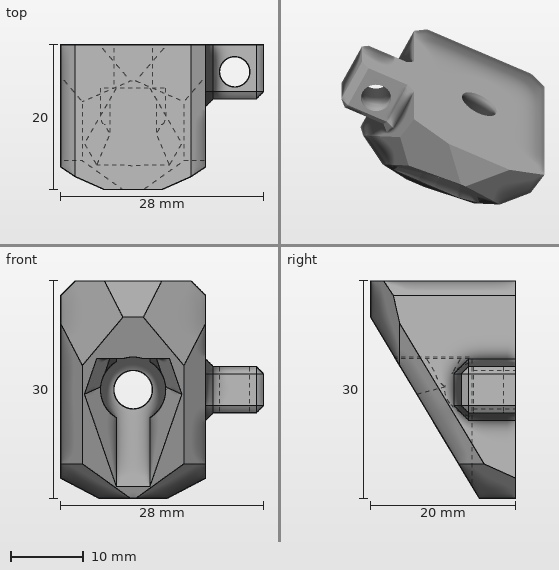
import cadquery as cq
import math

BODY_HEIGHT = 30.0
BODY_WIDTH = 20.0
TOP_DEPTH = 20.0
BASE_DEPTH = 5.0
BROW_Z = 25.0
TOP_CHAMFER = 2.0
HALF_WIDTH = BODY_WIDTH / 2
SLOPE = (TOP_DEPTH - BASE_DEPTH) / BROW_Z

BAND_WIDTH = 3.0
BAND_SIDE_DROP = 3.5
BOTTOM_SIDE_Z = 2.8
BOTTOM_HALF_WIDTH = 4.68
BOTTOM_FRONT_X = 0.35
SHOULDER_SIDE_Z = 24.12
SHOULDER_SIDE_DEPTH = 16.0
SHOULDER_TOP_X = 3.95
SHOULDER_BROW_X = 1.4

FLOOR_DEPTH = 6.0
FLOOR_HALF_WIDTH = 2.3
WALL_ANGLE = 30.0
RECESS_TOP_Z = 19.32
HOOD_LOW_Z = 14.37
HOOD_TOP_X = 5.0
HOOD_INNER_LOW_X = 4.53
HOOD_INNER_LOW_Z = 15.35
HOOD_INNER_TOP_X = 3.2
HOLE_Z = 15.0
COUNTERBORE_RADIUS = 4.5
BORE_RADIUS = 2.65

LUG_END_X = 18.0
LUG_DEPTH = 7.5
LUG_HEIGHT = 6.42
LUG_CHAMFER = 1.02
LUG_HOLE_X = 14.0
LUG_HOLE_DEPTH = LUG_DEPTH / 2
LUG_HOLE_RADIUS = 2.07

FAR = 90.0


def front_depth(z):
    """Depth of the sloped front at height z."""
    return BASE_DEPTH + SLOPE * z


def trim(solid, points, inside):
    """Cut along the plane through three points, keeping the side of inside."""
    a, b, c = [cq.Vector(*p) for p in points]
    normal = (b - a).cross(c - a)
    if normal.dot(cq.Vector(*inside) - a) > 0:
        normal = normal * -1
    plane = cq.Plane(origin=a, normal=normal)
    return solid.cut(cq.Workplane(plane).rect(FAR, FAR).extrude(FAR))


def make_body():
    profile = [
        (0, 0),
        (-BASE_DEPTH, 0),
        (-TOP_DEPTH, BROW_Z),
        (-TOP_DEPTH, BODY_HEIGHT),
        (0, BODY_HEIGHT),
    ]
    body = cq.Workplane("YZ").polyline(profile).close().extrude(HALF_WIDTH, both=True)
    body = body.edges("|Y and >Z").chamfer(TOP_CHAMFER)
    inside = (0, -BASE_DEPTH / 2, BODY_HEIGHT / 2)
    for side in (-1, 1):
        wall_x = side * HALF_WIDTH
        band_x = side * (HALF_WIDTH - BAND_WIDTH)
        band = [
            (wall_x, BAND_SIDE_DROP - front_depth(0), 0),
            (wall_x, BAND_SIDE_DROP - front_depth(BROW_Z), BROW_Z),
            (band_x, -front_depth(0), 0),
        ]
        bottom = [
            (wall_x, 0, BOTTOM_SIDE_Z),
            (side * BOTTOM_HALF_WIDTH, 0, 0),
            (side * BOTTOM_FRONT_X, -BASE_DEPTH, 0),
        ]
        shoulder = [
            (wall_x, -SHOULDER_SIDE_DEPTH, SHOULDER_SIDE_Z),
            (side * SHOULDER_TOP_X, -TOP_DEPTH, BODY_HEIGHT),
            (side * SHOULDER_BROW_X, -TOP_DEPTH, BROW_Z),
        ]
        for facet in (band, bottom, shoulder):
            body = trim(body, facet, inside)
    return body


def make_hood(side):
    """Overhanging wedge left in an upper corner of the recess."""
    lean = math.tan(math.radians(WALL_ANGLE))
    low_depth = front_depth(HOOD_LOW_Z)
    low_x = FLOOR_HALF_WIDTH + (low_depth - FLOOR_DEPTH) * lean
    inner_depth = FLOOR_DEPTH + (HOOD_INNER_LOW_X - FLOOR_HALF_WIDTH) / lean
    outline = [
        (side * low_x, HOOD_LOW_Z),
        (side * HOOD_INNER_LOW_X, HOOD_INNER_LOW_Z),
        (side * HOOD_INNER_TOP_X, RECESS_TOP_Z),
        (side * FAR, RECESS_TOP_Z),
        (side * FAR, HOOD_LOW_Z),
    ]
    face = [
        (side * low_x, -low_depth, HOOD_LOW_Z),
        (side * HOOD_TOP_X, -front_depth(RECESS_TOP_Z), RECESS_TOP_Z),
        (side * HOOD_INNER_LOW_X, -inner_depth, HOOD_INNER_LOW_Z),
    ]
    hood = cq.Workplane("XZ").polyline(outline).close().extrude(TOP_DEPTH)
    return trim(hood, face, (side * HALF_WIDTH, 0, RECESS_TOP_Z))


def make_recess():
    mouth_half_width = FLOOR_HALF_WIDTH + (TOP_DEPTH - FLOOR_DEPTH) * math.tan(math.radians(WALL_ANGLE))
    section = [
        (-FLOOR_HALF_WIDTH, -FLOOR_DEPTH),
        (FLOOR_HALF_WIDTH, -FLOOR_DEPTH),
        (mouth_half_width, -TOP_DEPTH),
        (-mouth_half_width, -TOP_DEPTH),
    ]
    recess = cq.Workplane("XY").polyline(section).close().extrude(RECESS_TOP_Z)
    for side in (-1, 1):
        recess = recess.cut(make_hood(side))
    return recess


def make_hole(radius, start_depth):
    hole = cq.Workplane("XZ", origin=(0, -start_depth, HOLE_Z)).circle(radius)
    return hole.extrude(TOP_DEPTH)


def lug_section(growth):
    """Lug outline in (Y, Z) about its mid height, grown outward at the root."""
    flat_depth = LUG_DEPTH - LUG_CHAMFER
    flat_z = LUG_HEIGHT / 2 - LUG_CHAMFER
    depth = LUG_DEPTH + growth
    top = LUG_HEIGHT / 2 + growth
    return [
        (0, -top),
        (-flat_depth, -top),
        (-depth, -flat_z),
        (-depth, flat_z),
        (-flat_depth, top),
        (0, top),
    ]


def make_lug():
    root = cq.Workplane("YZ", origin=(HALF_WIDTH, 0, HOLE_Z))
    lug = root.polyline(lug_section(0)).close().extrude(LUG_END_X - HALF_WIDTH)
    shoulder_x = LUG_END_X - LUG_CHAMFER
    flat_depth = LUG_DEPTH - LUG_CHAMFER
    inside = (LUG_HOLE_X, -LUG_HOLE_DEPTH, HOLE_Z)
    front = [
        (shoulder_x, -LUG_DEPTH, 0),
        (shoulder_x, -LUG_DEPTH, BODY_HEIGHT),
        (LUG_END_X, -flat_depth, 0),
    ]
    lug = trim(lug, front, inside)
    for side in (-1, 1):
        outer_z = HOLE_Z + side * LUG_HEIGHT / 2
        flat_z = outer_z - side * LUG_CHAMFER
        edge = [
            (shoulder_x, 0, outer_z),
            (shoulder_x, -flat_depth, outer_z),
            (LUG_END_X, -flat_depth, flat_z),
        ]
        corner = [
            (shoulder_x, -flat_depth, outer_z),
            (shoulder_x, -LUG_DEPTH, flat_z),
            (LUG_END_X, -flat_depth, flat_z),
        ]
        for facet in (edge, corner):
            lug = trim(lug, facet, inside)
    flare = (
        root.polyline(lug_section(LUG_CHAMFER)).close()
        .workplane(offset=LUG_CHAMFER)
        .polyline(lug_section(0)).close()
        .loft(ruled=True)
    )
    hole = cq.Workplane("XY").center(LUG_HOLE_X, -LUG_HOLE_DEPTH).circle(LUG_HOLE_RADIUS)
    return lug.union(flare).cut(hole.extrude(BODY_HEIGHT))


body = make_body().cut(make_recess())
body = body.cut(make_hole(COUNTERBORE_RADIUS, FLOOR_DEPTH))
body = body.cut(make_hole(BORE_RADIUS, 0))
result = body.union(make_lug())